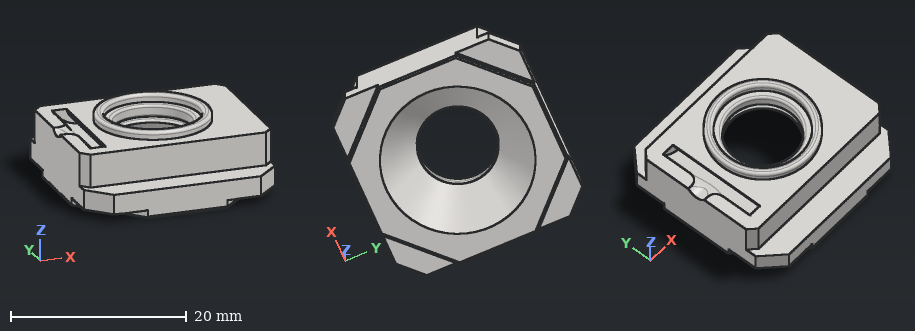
import cadquery as cq
import math

WIDTH = 23.2
FOOT_HEIGHT = 1.0
FLANGE_TOP = 3.4
BODY_TOP = 7.4
TOTAL_HEIGHT = 8.4
FLANGE_CORNER = 2.7
BODY_DEPTH = 16.9
BODY_CORNER = 1.0

FOOT_BEVEL_HEIGHT = 0.25
FOOT_BEVEL_INSET = 0.15

COLLAR_DIAMETER = 13.5
COLLAR_OUTER_FILLET = 0.4
COLLAR_INNER_FILLET = 0.4
COUNTERBORE_DIAMETER = 11.25
BORE_DIAMETER = 9.3
BORE_LIP_FILLET = 0.3
GROOVE_DIAMETER = COUNTERBORE_DIAMETER
GROOVE_TOP = 5.9
GROOVE_BOTTOM = 5.6

CONE_MOUTH_DIAMETER = 17.7
CONE_HEIGHT = 5.25

POCKET_LENGTH = 13.0
POCKET_OUTER_X = -9.82
POCKET_INNER_X = -8.1
POCKET_END_X = -6.3
POCKET_FLOOR_RADIUS = 4.0
POCKET_FLOOR_AXIS_RISE = 2.05
POCKET_ROOF_RADIUS = 2.5
POCKET_ROOF_AXIS_RISE = 0.7

NOTCH_RADIUS = 1.5
NOTCH_DEPTH = 0.6
NOTCH_BLEND_RADIUS = 1.6
SELECTION_MARGIN = 0.1


def square_plate(depth, bottom, top, corner):
    """Rectangular plate with its vertical corners cut at 45 degrees."""
    plate = cq.Workplane("XY").workplane(offset=bottom).rect(WIDTH, depth).extrude(top - bottom)
    return plate.edges("|Z").chamfer(corner)


def make_foot():
    """Regular octagon whose lower rim is bevelled on all eight sides."""
    corner = WIDTH / (2 + math.sqrt(2))
    foot = square_plate(WIDTH, 0, FOOT_HEIGHT, corner)
    return foot.faces("<Z").chamfer(FOOT_BEVEL_HEIGHT, FOOT_BEVEL_INSET)


def cylinder_along_y(radius, x, z):
    """Cylinder as long as the pocket, centred on the XZ plane."""
    return cq.Workplane("XZ").center(x, z).circle(radius).extrude(POCKET_LENGTH / 2, both=True)


def make_pocket():
    """Crescent-shaped undercut that opens upward through a narrow slot."""
    floor_x = POCKET_OUTER_X + math.sqrt(POCKET_FLOOR_RADIUS**2 - POCKET_FLOOR_AXIS_RISE**2)
    roof_x = POCKET_INNER_X + math.sqrt(POCKET_ROOF_RADIUS**2 - POCKET_ROOF_AXIS_RISE**2)
    floor = cylinder_along_y(POCKET_FLOOR_RADIUS, floor_x, BODY_TOP + POCKET_FLOOR_AXIS_RISE)
    roof = cylinder_along_y(POCKET_ROOF_RADIUS, roof_x, BODY_TOP + POCKET_ROOF_AXIS_RISE)
    reach = POCKET_END_X - POCKET_OUTER_X
    limit = cq.Workplane("XY").box(reach, POCKET_LENGTH, BODY_TOP, centered=(False, True, False))
    limit = limit.translate((POCKET_OUTER_X, 0, 0))
    return floor.cut(roof).intersect(limit)


def cut_notch(body):
    """Cut the notch and round the edge where it runs into the pocket floor."""
    axis_z = BODY_TOP - NOTCH_DEPTH + NOTCH_RADIUS
    length = POCKET_INNER_X + WIDTH / 2
    notch = (
        cq.Workplane("YZ")
        .workplane(offset=-WIDTH / 2)
        .center(0, axis_z)
        .circle(NOTCH_RADIUS)
        .extrude(length)
    )
    half_width = math.sqrt(NOTCH_RADIUS**2 - (NOTCH_RADIUS - NOTCH_DEPTH) ** 2)
    reach_y = half_width + SELECTION_MARGIN
    junction = cq.selectors.BoxSelector(
        (POCKET_OUTER_X - SELECTION_MARGIN, -reach_y, BODY_TOP - NOTCH_DEPTH - SELECTION_MARGIN),
        (POCKET_INNER_X - SELECTION_MARGIN, reach_y, BODY_TOP - SELECTION_MARGIN),
    )
    return body.cut(notch).edges(junction).fillet(NOTCH_BLEND_RADIUS)


def make_collar():
    """Disc with a rounded top rim, standing on the block."""
    return (
        cq.Workplane("XY")
        .workplane(offset=BODY_TOP)
        .circle(COLLAR_DIAMETER / 2)
        .extrude(TOTAL_HEIGHT - BODY_TOP)
        .faces(">Z")
        .edges()
        .fillet(COLLAR_OUTER_FILLET)
    )


def arc_sag(fillet):
    """Offset of a quarter-round's midpoint from either of its tangent lines."""
    return fillet * (1 - math.sqrt(0.5))


def rounded_rim(profile, radius, height, fillet):
    """Continue a profile up to a rim and around its convex rounding."""
    sag = arc_sag(fillet)
    return profile.lineTo(radius, height - fillet).threePointArc(
        (radius + sag, height - sag), (radius + fillet, height)
    )


def make_bore():
    """Cone, lower lip, groove, bore and counterbore as one revolved cutter."""
    bore = BORE_DIAMETER / 2
    groove = GROOVE_DIAMETER / 2
    rim = COUNTERBORE_DIAMETER / 2
    sag = arc_sag(BORE_LIP_FILLET)

    profile = cq.Workplane("XZ").lineTo(CONE_MOUTH_DIAMETER / 2, 0).lineTo(bore, CONE_HEIGHT)
    profile = rounded_rim(profile, bore, GROOVE_BOTTOM, BORE_LIP_FILLET)
    profile = profile.lineTo(groove, GROOVE_BOTTOM).lineTo(groove, GROOVE_TOP)
    profile = profile.lineTo(bore + BORE_LIP_FILLET, GROOVE_TOP).threePointArc(
        (bore + sag, GROOVE_TOP + sag), (bore, GROOVE_TOP + BORE_LIP_FILLET)
    )
    profile = rounded_rim(profile, bore, BODY_TOP, BORE_LIP_FILLET).lineTo(rim, BODY_TOP)
    profile = rounded_rim(profile, rim, TOTAL_HEIGHT, COLLAR_INNER_FILLET)
    return profile.lineTo(0, TOTAL_HEIGHT).close().revolve(360, (0, 0, 0), (0, 1, 0))


flange = square_plate(WIDTH, FOOT_HEIGHT, FLANGE_TOP, FLANGE_CORNER)
upper_body = square_plate(BODY_DEPTH, FLANGE_TOP, BODY_TOP, BODY_CORNER)
block = make_foot().union(flange).union(upper_body)
block = cut_notch(block.cut(make_pocket()))
result = block.union(make_collar()).cut(make_bore())